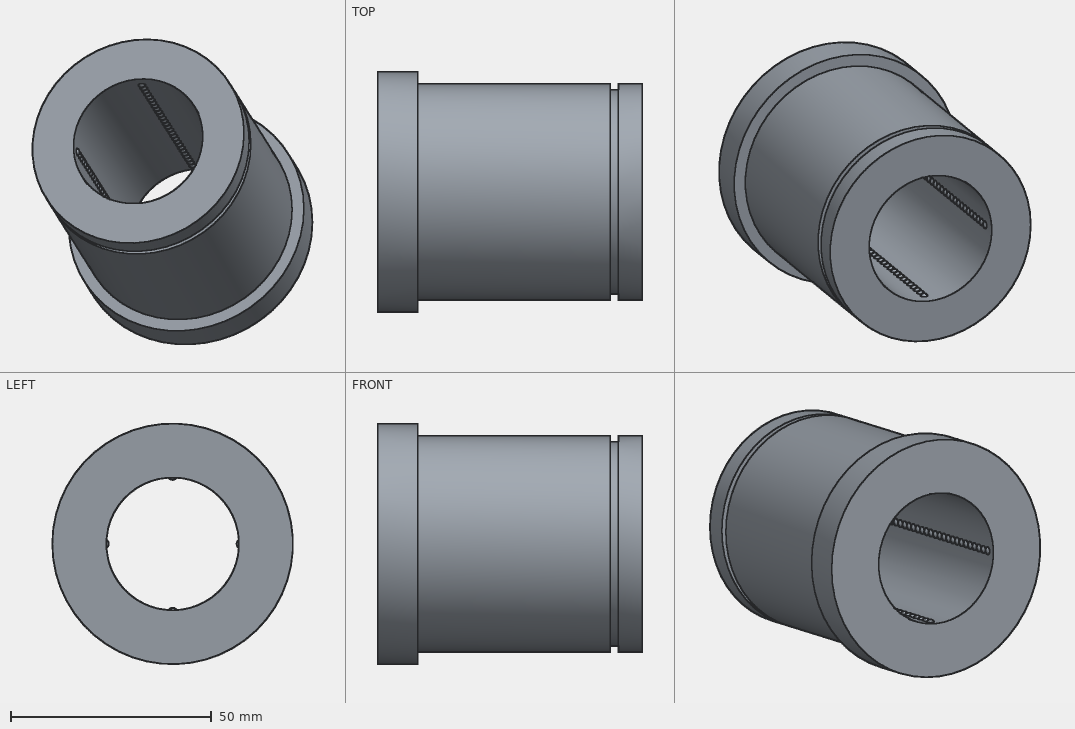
import cadquery as cq

length = 66.0
flange_diameter = 60.0
flange_thickness = 10.0
body_diameter = 54.0
bore_diameter = 33.0

groove_width = 2.0
groove_diameter = 51.0
end_land = 6.0

row_count = 4
ball_diameter = 2.2
ball_protrusion = 0.6
ball_pitch = ball_diameter
first_ball_x = 2.85
balls_per_row = int((length - 2 * first_ball_x) / ball_pitch) + 1
ball_centre_radius = bore_diameter / 2 - ball_protrusion + ball_diameter / 2


def cylinder(start_x, cylinder_length, diameter):
    return cq.Workplane("YZ", origin=(start_x, 0, 0)).circle(diameter / 2).extrude(cylinder_length)


def sleeve():
    """Flanged body with the ring groove and the through bore."""
    blank = cylinder(0, flange_thickness, flange_diameter).union(cylinder(0, length, body_diameter))
    groove_start = length - end_land - groove_width
    groove = cylinder(groove_start, groove_width, body_diameter).cut(
        cylinder(groove_start, groove_width, groove_diameter)
    )
    return blank.cut(groove).cut(cylinder(0, length, bore_diameter))


def ball_row(angle):
    """Ball solids of one row, turned about X by the given angle from +Z."""
    centres = [(first_ball_x + index * ball_pitch, 0) for index in range(balls_per_row)]
    row = cq.Workplane("XY").pushPoints(centres)
    balls = row.sphere(ball_diameter / 2, direct=(1, 0, 0), combine=False)
    return balls.translate((0, 0, ball_centre_radius)).rotate((0, 0, 0), (1, 0, 0), angle)


result = sleeve()
for row_index in range(row_count):
    result = result.union(ball_row(row_index * 360 / row_count))